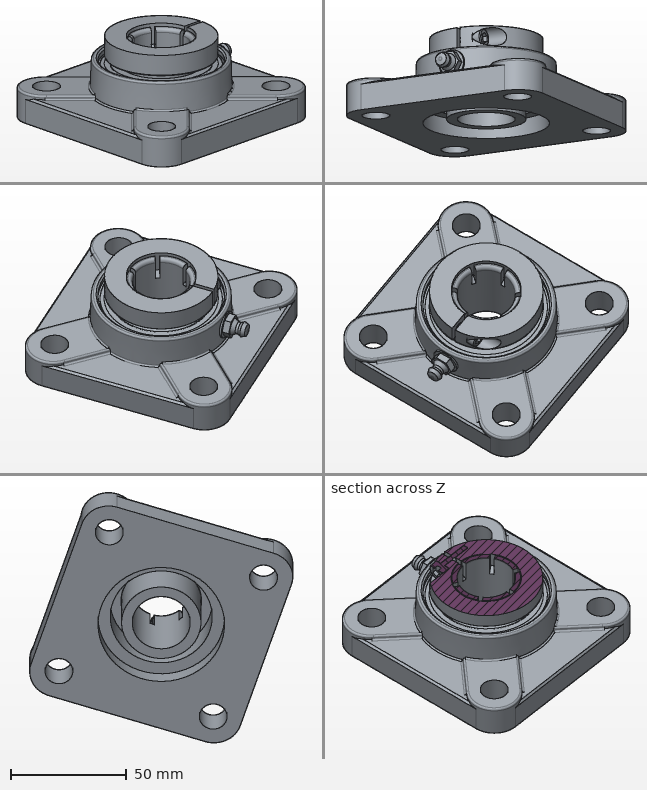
import cadquery as cq
import math

bolt_offset = 35.0
pad_radius = 12.0
bolt_diameter = 12.0
flange_width = 95.0
pad_reach = math.sqrt(2) * (flange_width / 2 - pad_radius)
flange_height = 12.2
pad_height = 14.0
flange_edge_inset = 0.8
flange_edge_drop = 1.1
arm_half_width = 12.0
arm_side_angle = math.radians(75)
blend_radius = 0.95
root_radius = 0.75

hub_height = 27.0
hub_base_radius = 30.8
hub_top_radius = 30.2
hub_edge_radius = 0.9
mouth_radius = 28.1

bearing_z = 16.0
sphere_radius = 57.15 / 2
ring_edge_radius = 54.61 / 2
ring_half_width = math.sqrt(sphere_radius**2 - ring_edge_radius**2)
ring_step_radius = 26.4
ring_step = 0.4
ring_bore_radius = 44.0 / 2
seal_seat_radius = 24.65

bore_radius = 25.0 / 2
shoulder_radius = 34.23 / 2
shoulder_top = 27.7
sleeve_radius = 14.9
sleeve_top = 35.8
sleeve_bottom = 1.7
sleeve_edge_radius = 1.8
slot_width = 2.0
slot_count = 6
slot_floor_z = 25.2
slot_floor_angle = math.radians(35)

seal_bore_radius = 34.73 / 2
seal_thickness = 2.0
seal_recess = 0.5

collar_radius = 24.5
collar_bore_radius = 15.1
collar_bottom = shoulder_top
collar_top = 37.3
collar_chamfer = 0.5
collar_slot_width = 1.6

screw_y = 19.7
screw_z = (collar_bottom + collar_top) / 2
screw_diameter = 4.0
head_diameter = 8.0
head_rim_diameter = 7.0
head_chamfer = (head_diameter - head_rim_diameter) / 2
head_face_x = -10.2
head_height = 4.0
screw_end_x = 9.0
socket_flats = 4.0
socket_depth = 2.0

fitting_z = 19.9
boss_diameter = 12.0
boss_face_y = 30.85
stem_diameter = 6.0
stem_clearance = 0.05
stem_end_y = sphere_radius + stem_clearance
hex_flats = 9.0
hex_face_y = 33.9
fitting_flare_radius = 3.8
fitting_neck_radius = 2.7
fitting_neck_start_y = 35.9
fitting_neck_end_y = 37.1
fitting_bead_radius = 3.4
fitting_bead_y = 38.4
fitting_nose_radius = 2.7
fitting_nose_y = 40.25
fitting_tip_radius = 1.48 / 2
fitting_tip_y = 40.65


def disc(radius, bottom, top):
    return cq.Workplane("XY").workplane(offset=bottom).circle(radius).extrude(top - bottom)


def along_x(radius, start, end):
    """Cylinder on the clamp screw axis."""
    plane = cq.Plane(origin=(start, screw_y, screw_z), xDir=(0, 1, 0), normal=(1, 0, 0))
    return cq.Workplane(plane).circle(radius).extrude(end - start)


def along_y(y):
    """Sketch plane across the grease fitting axis, facing outwards."""
    return cq.Workplane(cq.Plane(origin=(0, y, fitting_z), xDir=(1, 0, 0), normal=(0, 1, 0)))


def revolved(outline):
    """Solid of revolution about Z from a closed (radius, height) outline."""
    return outline.close().revolve(360, (0, 0, 0), (0, 1, 0))


def make_plate():
    plate = (
        cq.Workplane("XY")
        .rect(flange_width, flange_width)
        .extrude(flange_height)
        .edges("|Z")
        .chamfer(pad_radius)
    )
    return plate.faces(">Z").edges("|X or |Y").chamfer(flange_edge_drop, flange_edge_inset)


def make_arm():
    """Raised arm along +X from the bearing axis, ending in a round bolt pad."""
    blend_rise = blend_radius * (1 - math.cos(arm_side_angle))
    blend_run = blend_radius * math.sin(arm_side_angle)
    side_low_z = flange_height + blend_rise
    side_high_z = pad_height - blend_rise
    side_half_run = (side_high_z - side_low_z) / math.tan(arm_side_angle) / 2
    side_low = arm_half_width + side_half_run
    side_high = arm_half_width - side_half_run
    foot = side_low + blend_run
    crest = side_high - blend_run
    bar = (
        cq.Workplane("YZ")
        .moveTo(-foot, 0)
        .lineTo(-foot, flange_height)
        .radiusArc((-side_low, side_low_z), -blend_radius)
        .lineTo(-side_high, side_high_z)
        .radiusArc((-crest, pad_height), blend_radius)
        .lineTo(crest, pad_height)
        .radiusArc((side_high, side_high_z), blend_radius)
        .lineTo(side_low, side_low_z)
        .radiusArc((foot, flange_height), -blend_radius)
        .lineTo(foot, 0)
        .close()
        .extrude(pad_reach)
    )
    pad = disc(pad_radius, 0, pad_height).faces(">Z").edges().fillet(blend_radius)
    arm_top = cq.Workplane("XY").box(pad_reach, 2 * crest, hub_height, centered=(False, True, False))
    hub_root = make_hub_root(pad_height).intersect(arm_top)
    return bar.union(pad.translate((pad_reach, 0, 0))).union(hub_root)


def hub_radius_at(z):
    taper = (hub_base_radius - hub_top_radius) / (hub_height - flange_height)
    return hub_base_radius - taper * (z - flange_height)


def make_hub_root(floor_z):
    """Disc with a concave rim that blends the hub into a floor at the given height."""
    crown_z = floor_z + root_radius
    crown_radius = hub_radius_at(crown_z)
    return revolved(
        cq.Workplane("XZ")
        .lineTo(crown_radius + root_radius, 0)
        .lineTo(crown_radius + root_radius, floor_z)
        .radiusArc((crown_radius, crown_z), root_radius)
        .lineTo(0, crown_z)
    )


def make_hub():
    hub = revolved(
        cq.Workplane("XZ")
        .lineTo(hub_base_radius, 0)
        .lineTo(hub_base_radius, flange_height)
        .lineTo(hub_top_radius, hub_height)
        .lineTo(0, hub_height)
    )
    return hub.faces(">Z").edges().fillet(hub_edge_radius).union(make_hub_root(flange_height))


def make_mouth():
    mouth_depth = mouth_radius - ring_edge_radius
    return revolved(
        cq.Workplane("XZ")
        .moveTo(0, hub_height - mouth_depth)
        .lineTo(ring_edge_radius, hub_height - mouth_depth)
        .lineTo(mouth_radius, hub_height)
        .lineTo(0, hub_height)
    )


def make_housing_bore():
    """Spherical seat with a straight entry below and a flared mouth above."""
    seat = cq.Workplane("XY").sphere(sphere_radius).translate((0, 0, bearing_z))
    return disc(ring_edge_radius, 0, hub_height).union(seat).union(make_mouth())


def make_housing():
    body = make_plate()
    arm = make_arm()
    for corner in range(4):
        body = body.union(arm.rotate((0, 0, 0), (0, 0, 1), 45 + 90 * corner))
    body = body.union(make_hub())
    body = body.union(along_y(0).circle(boss_diameter / 2).extrude(boss_face_y))
    body = body.cut(make_housing_bore())
    bolts = (
        cq.Workplane("XY")
        .rect(2 * bolt_offset, 2 * bolt_offset, forConstruction=True)
        .vertices()
        .circle(bolt_diameter / 2)
        .extrude(pad_height)
    )
    fitting_hole = along_y(ring_edge_radius).circle(stem_diameter / 2).extrude(boss_face_y)
    return body.cut(bolts).cut(fitting_hole)


def make_outer_ring():
    ring = cq.Workplane("XY").sphere(sphere_radius)
    ring = ring.intersect(disc(sphere_radius, -ring_half_width, ring_half_width))
    ring = ring.cut(disc(ring_bore_radius, -ring_half_width, ring_half_width))
    seal_seat = disc(seal_seat_radius, ring_half_width - seal_thickness, ring_half_width)
    rim = disc(sphere_radius, ring_half_width - ring_step, ring_half_width)
    rim = rim.cut(disc(ring_step_radius, ring_half_width - ring_step, ring_half_width))
    return ring.cut(seal_seat).cut(rim).translate((0, 0, bearing_z))


def make_slot_cutter():
    """Radial cutter along +Y whose floor climbs outwards."""
    slope = math.tan(slot_floor_angle)
    return (
        cq.Workplane("YZ")
        .moveTo(0, slot_floor_z - bore_radius * slope)
        .lineTo(bore_radius + (sleeve_top - slot_floor_z) / slope, sleeve_top)
        .lineTo(0, sleeve_top)
        .close()
        .extrude(slot_width / 2, both=True)
    )


def make_inner_ring():
    ring = disc(sleeve_radius, sleeve_bottom, sleeve_top)
    ring = ring.union(disc(shoulder_radius, sleeve_bottom, shoulder_top))
    ring = ring.cut(disc(bore_radius, sleeve_bottom, sleeve_top))
    ring = ring.faces(">Z").edges(cq.selectors.RadiusNthSelector(0)).fillet(sleeve_edge_radius)
    cutter = make_slot_cutter()
    for index in range(slot_count):
        ring = ring.cut(cutter.rotate((0, 0, 0), (0, 0, 1), index * 360 / slot_count))
    return ring


def make_seal():
    top = bearing_z + ring_half_width
    bottom = top - seal_thickness
    seal = disc(seal_seat_radius, bottom, top)
    seal = seal.cut(disc(ring_bore_radius, top - seal_recess, top))
    return seal.cut(disc(seal_bore_radius, bottom, top))


def make_collar():
    collar = disc(collar_radius, collar_bottom, collar_top)
    collar = collar.faces("<Z").edges().chamfer(collar_chamfer)
    collar = collar.cut(disc(collar_bore_radius, collar_bottom, collar_top))
    slot = cq.Workplane("XY").box(
        collar_slot_width, collar_radius, collar_top, centered=(True, False, False)
    )
    head_seat = along_x(head_diameter / 2, -collar_radius, head_face_x + head_height)
    thread = along_x(screw_diameter / 2, head_face_x, screw_end_x)
    return collar.cut(slot).cut(head_seat).cut(thread)


def make_clamp_screw():
    head = along_x(head_diameter / 2, head_face_x, head_face_x + head_height)
    head = head.faces("<X").edges().chamfer(head_chamfer)
    socket = (
        head.faces("<X")
        .workplane(centerOption="CenterOfMass")
        .polygon(6, socket_flats, circumscribed=True)
        .extrude(-socket_depth, combine=False)
    )
    return head.union(along_x(screw_diameter / 2, head_face_x + head_height, screw_end_x)).cut(socket)


def make_grease_fitting():
    stem = along_y(stem_end_y).circle(stem_diameter / 2).extrude(boss_face_y - stem_end_y)
    nut = (
        along_y(boss_face_y)
        .transformed(rotate=(0, 0, 90))
        .polygon(6, hex_flats, circumscribed=True)
        .extrude(hex_face_y - boss_face_y)
    )
    nipple = (
        cq.Workplane("XY")
        .moveTo(0, hex_face_y)
        .lineTo(fitting_flare_radius, hex_face_y)
        .lineTo(fitting_neck_radius, fitting_neck_start_y)
        .lineTo(fitting_neck_radius, fitting_neck_end_y)
        .lineTo(fitting_bead_radius, fitting_bead_y)
        .lineTo(fitting_nose_radius, fitting_nose_y)
        .lineTo(fitting_tip_radius, fitting_tip_y)
        .lineTo(0, fitting_tip_y)
        .close()
        .revolve(360, (0, 0, 0), (0, 1, 0))
        .translate((0, 0, fitting_z))
    )
    return stem.union(nut).union(nipple)


housing = make_housing()
outer_ring = make_outer_ring()
inner_ring = make_inner_ring()
seal = make_seal()
collar = make_collar()
clamp_screw = make_clamp_screw()
grease_fitting = make_grease_fitting()

result = cq.Compound.makeCompound([
    housing.solids().val(),
    outer_ring.solids().val(),
    inner_ring.solids().val(),
    seal.solids().val(),
    collar.solids().val(),
    clamp_screw.solids().val(),
    grease_fitting.solids().val(),
])